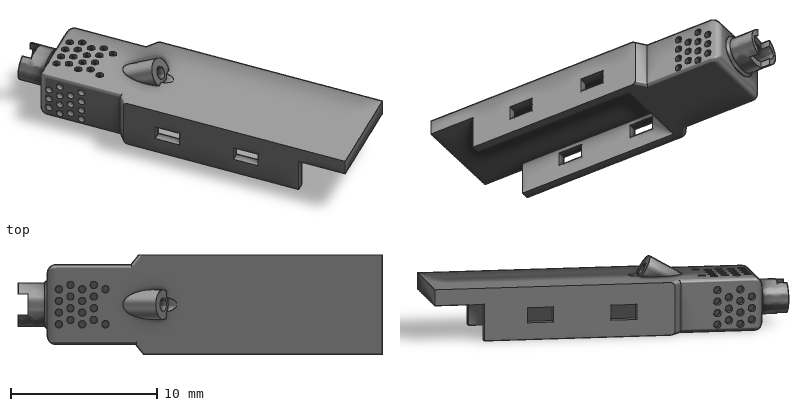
import cadquery as cq
import math

LENGTH = 24.9
WIDTH = 6.8
HEIGHT = 3.65
WALL = 0.6

GRIP_START = 2.0
GRIP_WIDTH = 5.48
SHOULDER_RUN = 0.52
NEAR_SHOULDER_START = 8.05
FAR_SHOULDER_START = 7.72
FRONT_ROUND = 0.62
EDGE_ROUND = 0.27

PLATE_THICKNESS = 1.12
PLATE_UNDERSIDE = HEIGHT - PLATE_THICKNESS
BODY_END = 21.46
CAVITY_START = NEAR_SHOULDER_START + SHOULDER_RUN + WALL

WINDOW_START = 10.88
WINDOW_COUNT = 2
WINDOW_PITCH = 5.78
WINDOW_LENGTH = 1.82
WINDOW_HEIGHT = 1.05
WINDOW_BOTTOM = 1.17

NOSE_Z = 1.9
NOSE_WIDTH = 2.96
NOSE_HEIGHT = 2.37
NOSE_FLARE = 0.2
NOTCH_WIDTH = 1.42
NOTCH_DEPTH = 0.67
BORE_WIDTH = 2.4
BORE_HEIGHT = 1.35
BORE_FLAT_HEIGHT = 1.2

POST_ANGLE = 30.0
POST_DIAMETER = 2.05
POST_BORE_DIAMETER = 0.9
POST_TIP_X = 9.4
POST_TIP_Z = 4.95
RELIEF_DIAMETER = 1.37
RELIEF_FLARE_ANGLE = 13.0
RELIEF_LENGTH = 3.0

DIMPLE_DIAMETER = 0.5
DIMPLE_DEPTH = 0.5
DIMPLE_PITCH = 0.8
DIMPLE_START = 2.8
SIDE_COLUMNS = 4
SIDE_LOW_Z = 0.52
SIDE_RAISED_Z = 0.8
SIDE_LOW_ROWS = 4
SIDE_RAISED_ROWS = 3
TOP_COLUMNS = 4
TOP_ROWS = 4
TOP_FIRST_Y = -1.35
TOP_SHIFTED_Y = -1.05


def block(x_range, y_range, z_range):
    """Box spanning the given coordinate ranges."""
    spans = [high - low for low, high in (x_range, y_range, z_range)]
    corner = (x_range[0], y_range[0], z_range[0])
    return cq.Workplane("XY").box(*spans, centered=False).translate(corner)


def centred(size, middle=0.0):
    """Coordinate range of a given size about a middle."""
    return (middle - size / 2, middle + size / 2)


def ellipse_bar(x_start, x_end, width, height):
    """Elliptical bar along X on the nose axis."""
    plane = cq.Workplane("YZ", origin=(x_start, 0, NOSE_Z))
    return plane.ellipse(width / 2, height / 2).extrude(x_end - x_start)


def make_body():
    half_grip = GRIP_WIDTH / 2
    half_width = WIDTH / 2
    outline = [
        (GRIP_START, -half_grip),
        (NEAR_SHOULDER_START, -half_grip),
        (NEAR_SHOULDER_START + SHOULDER_RUN, -half_width),
        (LENGTH, -half_width),
        (LENGTH, half_width),
        (FAR_SHOULDER_START + SHOULDER_RUN, half_width),
        (FAR_SHOULDER_START, half_grip),
        (GRIP_START, half_grip),
    ]
    body = cq.Workplane("XY").polyline(outline).close().extrude(HEIGHT)
    body = body.faces("<X").edges().fillet(FRONT_ROUND)

    grip_zone = cq.selectors.BoxSelector(
        (GRIP_START - 0.25, -half_width, -0.25),
        (NEAR_SHOULDER_START + SHOULDER_RUN, half_width, HEIGHT + 0.25),
    )
    long_edges = "(not |Z) and (not |Y)"
    body = body.edges(grip_zone).edges(long_edges).fillet(EDGE_ROUND)
    return body


def hollow_body(body):
    tail_step = block((BODY_END, LENGTH), centred(WIDTH), (0, PLATE_UNDERSIDE))
    cavity = block((CAVITY_START, BODY_END), centred(WIDTH - 2 * WALL), (0, PLATE_UNDERSIDE))
    body = body.cut(tail_step).cut(cavity)
    for index in range(WINDOW_COUNT):
        start = WINDOW_START + index * WINDOW_PITCH
        window = block(
            (start, start + WINDOW_LENGTH),
            centred(WIDTH),
            (WINDOW_BOTTOM, WINDOW_BOTTOM + WINDOW_HEIGHT),
        )
        body = body.cut(window)
    return body


def add_nose(body):
    root = GRIP_START + FRONT_ROUND
    nose = ellipse_bar(0, root, NOSE_WIDTH, NOSE_HEIGHT)
    flare = (
        cq.Workplane("YZ", origin=(GRIP_START - NOSE_FLARE, 0, NOSE_Z))
        .ellipse(NOSE_WIDTH / 2, NOSE_HEIGHT / 2)
        .workplane(offset=NOSE_FLARE)
        .ellipse(NOSE_WIDTH / 2 + NOSE_FLARE, NOSE_HEIGHT / 2 + NOSE_FLARE)
        .loft()
    )
    notch = block((0, NOTCH_DEPTH), centred(NOTCH_WIDTH), centred(NOSE_HEIGHT, NOSE_Z))
    body = body.union(nose).union(flare).cut(notch)

    nose_bore = ellipse_bar(0, GRIP_START, BORE_WIDTH, BORE_HEIGHT)
    flats = block((GRIP_START, CAVITY_START), centred(BORE_WIDTH), centred(BORE_FLAT_HEIGHT, NOSE_Z))
    body_bore = ellipse_bar(GRIP_START, CAVITY_START, BORE_WIDTH, BORE_HEIGHT).intersect(flats)
    return body.cut(nose_bore).cut(body_bore)


def add_post(body):
    slope = math.radians(POST_ANGLE)
    radius = POST_DIAMETER / 2
    face_centre = (
        POST_TIP_X + radius * math.sin(slope),
        0,
        POST_TIP_Z - radius * math.cos(slope),
    )
    outward = (math.cos(slope), 0, math.sin(slope))
    face = cq.Workplane(cq.Plane(origin=face_centre, xDir=(0, 1, 0), normal=outward))

    bore_length = (face_centre[2] - NOSE_Z) / math.sin(slope)
    relief = face.circle(RELIEF_DIAMETER / 2).extrude(RELIEF_LENGTH, taper=-RELIEF_FLARE_ANGLE)
    post = face.circle(radius).extrude(-bore_length)
    above_roof = block((0, LENGTH), centred(WIDTH), (PLATE_UNDERSIDE, POST_TIP_Z))
    bore = face.circle(POST_BORE_DIAMETER / 2).extrude(-bore_length)
    return body.union(post.intersect(above_roof)).cut(relief).cut(bore)


def cut_dimples(body):
    radius = DIMPLE_DIAMETER / 2
    side_points = []
    top_points = []
    for column in range(SIDE_COLUMNS):
        x = DIMPLE_START + column * DIMPLE_PITCH
        raised = column % 2 == 0
        first_z = SIDE_RAISED_Z if raised else SIDE_LOW_Z
        rows = SIDE_RAISED_ROWS if raised else SIDE_LOW_ROWS
        side_points += [(x, first_z + row * DIMPLE_PITCH) for row in range(rows)]
    for column in range(TOP_COLUMNS):
        x = DIMPLE_START + column * DIMPLE_PITCH
        first_y = TOP_FIRST_Y if column % 2 == 0 else TOP_SHIFTED_Y
        top_points += [(x, first_y + row * DIMPLE_PITCH) for row in range(TOP_ROWS)]

    pair_x = DIMPLE_START + TOP_COLUMNS * DIMPLE_PITCH
    top_points += [(pair_x, TOP_FIRST_Y + row * DIMPLE_PITCH) for row in (0, TOP_ROWS - 1)]

    top_plane = cq.Workplane("XY", origin=(0, 0, HEIGHT))
    near_plane = cq.Workplane("XZ", origin=(0, -GRIP_WIDTH / 2, 0))
    top_dimples = top_plane.pushPoints(top_points).circle(radius).extrude(-DIMPLE_DEPTH)
    near_dimples = near_plane.pushPoints(side_points).circle(radius).extrude(-DIMPLE_DEPTH)
    far_dimples = near_dimples.mirror("XZ")
    return body.cut(top_dimples).cut(near_dimples).cut(far_dimples)


body = hollow_body(make_body())
body = add_nose(body)
body = add_post(body)
result = cut_dimples(body)